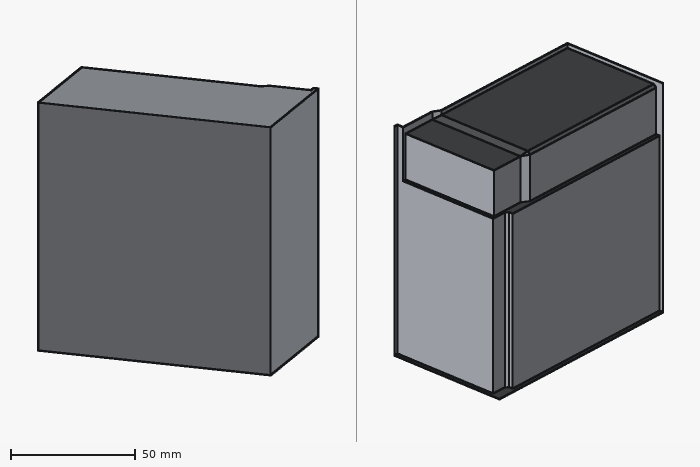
import cadquery as cq

length = 99.5
depth = 56.5
height = 104.5

front_wall = 2.0
top_wall = 2.2
side_wall = 2.0

liner_bottom = 79.8
liner_front = 3.9
liner_side = 3.6
liner_back = 53.5
top_setback = 2.0
corner_chamfer = 1.3

taper_start = 76.5
taper_length = 3.3
taper_end = taper_start + taper_length
front_rise = 2.2
top_rise = 1.5

strip_width = 8.4
strip_bevel = 1.3


def block(x0, x1, y0, y1, z0, z1):
    """Box between two opposite corners."""
    return cq.Workplane("XY").box(x1 - x0, y1 - y0, z1 - z0, centered=False).translate((x0, y0, z0))


def prism_z(points, z0, z1):
    """XY outline extruded between two heights."""
    return cq.Workplane("XY").workplane(offset=z0).polyline(points).close().extrude(z1 - z0)


def make_top_wall():
    """Top plate whose back edge steps outward near the side wall."""
    outline = [
        (0, 0),
        (length, 0),
        (length, liner_back),
        (taper_end, liner_back),
        (taper_start, liner_back - top_setback),
        (0, liner_back - top_setback),
    ]
    return prism_z(outline, height - top_wall, height)


def make_front_liner():
    """Upper front liner, ramping to its full thickness near the side wall."""
    full = liner_front + front_rise
    outline = [
        (0, 0),
        (length, 0),
        (length, full),
        (taper_end, full),
        (taper_start, liner_front),
        (0, liner_front),
    ]
    return prism_z(outline, liner_bottom, height)


def make_top_liner():
    """Ramped thickening under the top wall."""
    underside = height - top_wall
    profile = [
        (taper_start, underside),
        (length, underside),
        (length, underside - top_rise),
        (taper_end, underside - top_rise),
    ]
    liner = cq.Workplane("XZ").polyline(profile).close().extrude(-liner_back)
    edge_trim = prism_z(
        [
            (taper_start, liner_back - top_setback),
            (taper_end, liner_back),
            (taper_start, liner_back),
        ],
        underside - top_rise,
        underside,
    )
    return liner.cut(edge_trim)


def bevel_profile(leg):
    """Corners of the bevel triangle where the top and front walls meet, in the YZ plane."""
    underside = height - top_wall
    return [
        (liner_front, underside),
        (liner_front + leg, underside),
        (liner_front, underside - leg),
    ]


def make_corner_bevel():
    """Inside corner bevel that grows along the ramps to meet the thickened corner."""
    full_leg = front_rise + top_rise
    straight = cq.Workplane("YZ").polyline(bevel_profile(corner_chamfer)).close().extrude(taper_start)
    growing = (
        cq.Workplane("YZ", origin=(taper_start, 0, 0))
        .polyline(bevel_profile(corner_chamfer))
        .close()
        .workplane(offset=taper_length)
        .polyline(bevel_profile(full_leg))
        .close()
        .loft(ruled=True)
    )
    return straight.union(growing)


def make_lower_strip():
    """Beveled strip running down the inside corner below the liner."""
    inner_x = length - side_wall
    start = inner_x - strip_width
    outline = [
        (start, 0),
        (inner_x, 0),
        (inner_x, liner_front + strip_bevel),
        (start + strip_bevel, liner_front + strip_bevel),
        (start, liner_front),
    ]
    return prism_z(outline, 0, liner_bottom)


front_plate = block(0, length, 0, front_wall, 0, height)
side_plate = block(length - side_wall, length, 0, depth, 0, height)
side_liner = block(length - liner_side, length, 0, liner_back, liner_bottom, height)

result = (
    front_plate.union(side_plate)
    .union(side_liner)
    .union(make_top_wall())
    .union(make_front_liner())
    .union(make_top_liner())
    .union(make_corner_bevel())
    .union(make_lower_strip())
)